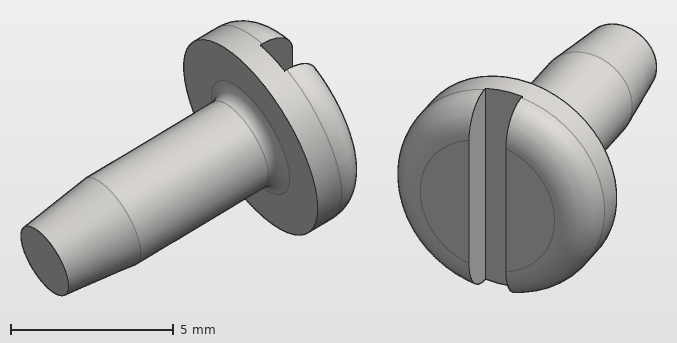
import cadquery as cq

total_length = 10.02
head_diameter = 6.86
head_height = 2.08
crown_radius = 1.16
shank_diameter = 3.08
tip_diameter = 2.44
taper_length = 2.55
neck_fillet_radius = 0.46
slot_width = 1.24
slot_depth = 1.24

head_radius = head_diameter / 2
shank_radius = shank_diameter / 2
tip_radius = tip_diameter / 2
head_underside = total_length - head_height


def make_body():
    """Revolve the tapered shank and the head as one profile."""
    profile = (
        cq.Workplane("XY")
        .lineTo(tip_radius, 0)
        .lineTo(shank_radius, taper_length)
        .lineTo(shank_radius, head_underside - neck_fillet_radius)
        .radiusArc((shank_radius + neck_fillet_radius, head_underside), neck_fillet_radius)
        .lineTo(head_radius, head_underside)
        .lineTo(head_radius, total_length - crown_radius)
        .radiusArc((head_radius - crown_radius, total_length), -crown_radius)
        .lineTo(0, total_length)
        .close()
    )
    return profile.revolve(360, (0, 0, 0), (0, 1, 0))


def make_driver_slot():
    """Slot through the full head diameter along Z, open at the crown."""
    slot_center_y = total_length - slot_depth / 2
    return (
        cq.Workplane("XY")
        .box(slot_width, slot_depth, head_diameter)
        .translate((0, slot_center_y, 0))
    )


result = make_body().cut(make_driver_slot())